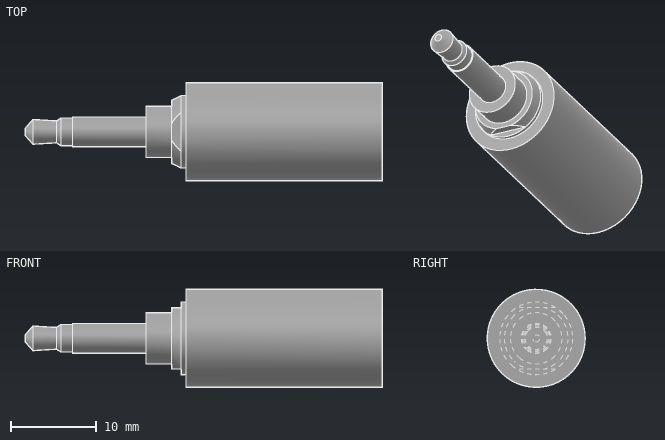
import cadquery as cq

total_length = 41.75
barrel_diameter = 11.5

tip_end_radius = 0.4
tip_radius = 1.45
neck_radius = 1.3
ring_radius = 1.63
shaft_radius = 1.75
collar_radius = 3.0
nut_front_radius = 3.7
nut_radius = 4.25

tip_cone_end = 0.9
neck_end = 3.67
ring_chamfer_end = 4.18
ring_end = 5.55
shaft_end = 14.1
collar_end = 17.1
nut_cone_end = 18.25
plug_length = 18.8

nut_flat_width = 7.2

tip_x = -total_length / 2


def make_plug_blank():
    """Turned plug: tip, neck, contact ring, shaft, collar and nut."""
    profile = [
        (0, 0),
        (0, tip_end_radius),
        (tip_cone_end, tip_radius),
        (neck_end, neck_radius),
        (ring_chamfer_end, ring_radius),
        (ring_end, ring_radius),
        (ring_end, shaft_radius),
        (shaft_end, shaft_radius),
        (shaft_end, collar_radius),
        (collar_end, collar_radius),
        (collar_end, nut_front_radius),
        (nut_cone_end, nut_radius),
        (plug_length, nut_radius),
        (plug_length, 0),
    ]
    blank = cq.Workplane("XY").polyline(profile).close().revolve(360, (0, 0, 0), (1, 0, 0))
    return blank.translate((tip_x, 0, 0))


def make_flat_cutter(side):
    """Block that removes the nut material beyond one flat; side is +1 (top) or -1 (bottom)."""
    depth = nut_radius - nut_flat_width / 2
    centre_x = tip_x + (collar_end + nut_cone_end) / 2
    centre_z = side * (nut_flat_width / 2 + depth / 2)
    cutter = cq.Workplane("XY").box(nut_cone_end - collar_end, 2 * nut_radius, depth)
    return cutter.translate((centre_x, 0, centre_z))


def make_plug():
    """Plug with the two wrench flats cut into its nut."""
    plug = make_plug_blank()
    for side in (1, -1):
        plug = plug.cut(make_flat_cutter(side))
    return plug


def make_barrel():
    """Plain cylinder that starts at the back face of the nut."""
    start = cq.Workplane("YZ", origin=(tip_x + plug_length, 0, 0))
    return start.circle(barrel_diameter / 2).extrude(total_length - plug_length)


plug = make_plug()
barrel = make_barrel()

result = cq.Compound.makeCompound([plug.val(), barrel.val()])